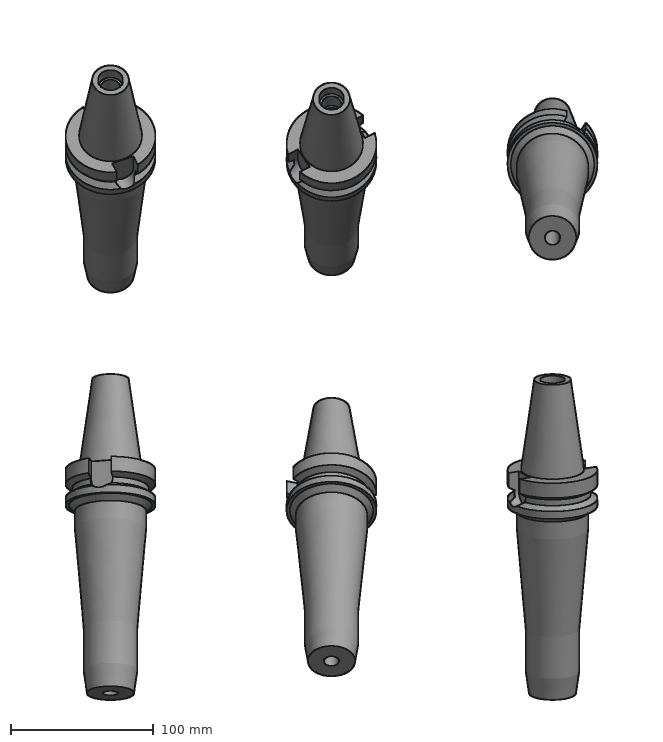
import cadquery as cq

total_height = 230.0
taper_length = 65.3
face_gap = 1.0
nose_height = 16.3
sleeve_top = 47.2
collar_bottom = 120.5
flange_bottom = 133.5
rim_bottom = 137.5
rim_top = 143.1
groove_bottom = 145.9
groove_top = 150.3
upper_rim_bottom = 153.0
gauge_height = total_height - taper_length
flange_top = gauge_height - face_gap

taper_small_radius = 13.0
taper_large_radius = 22.0
flange_radius = 31.5
rim_ledge_radius = 29.2
groove_radius = 27.0
collar_radius = 25.0
sleeve_radius = 18.9
nose_radius = 16.5

bore_radius = 5.3
step_radius = 7.0
mouth_radius = 8.7
mouth_depth = 9.0
step_depth = 23.0

slot_width = 16.0
slot_depth = 22.3
slot_floor = 22.5


def turned_body():
    profile = [
        (0, 0),
        (nose_radius, 0),
        (sleeve_radius, nose_height),
        (sleeve_radius, sleeve_top),
        (collar_radius, collar_bottom),
        (collar_radius, flange_bottom),
        (rim_ledge_radius, rim_bottom),
        (flange_radius, rim_bottom),
        (flange_radius, rim_top),
        (groove_radius, groove_bottom),
        (groove_radius, groove_top),
        (flange_radius, upper_rim_bottom),
        (flange_radius, flange_top),
        (taper_large_radius, flange_top),
        (taper_large_radius, gauge_height),
        (taper_small_radius, total_height),
        (0, total_height),
    ]
    section = cq.Workplane("XZ").polyline(profile).close()
    return section.revolve(360, (0, 0, 0), (0, 1, 0))


def bore():
    through = cq.Workplane("XY").circle(bore_radius).extrude(total_height)
    top = cq.Workplane("XY").workplane(offset=total_height)
    step = top.circle(step_radius).extrude(-step_depth)
    mouth = top.circle(mouth_radius).extrude(-mouth_depth)
    return through.union(step).union(mouth)


def drive_slot(side):
    """Round-bottomed keyway, open at the flange face, on the +X or -X side."""
    half_width = slot_width / 2
    bottom = flange_top - slot_depth
    outline = (
        cq.Workplane("YZ", origin=(side * slot_floor, 0, 0))
        .moveTo(-half_width, flange_top)
        .lineTo(-half_width, bottom + half_width)
        .threePointArc((0, bottom), (half_width, bottom + half_width))
        .lineTo(half_width, flange_top)
        .close()
    )
    return outline.extrude(side * flange_radius)


result = turned_body().cut(bore())
for side in (-1, 1):
    result = result.cut(drive_slot(side))